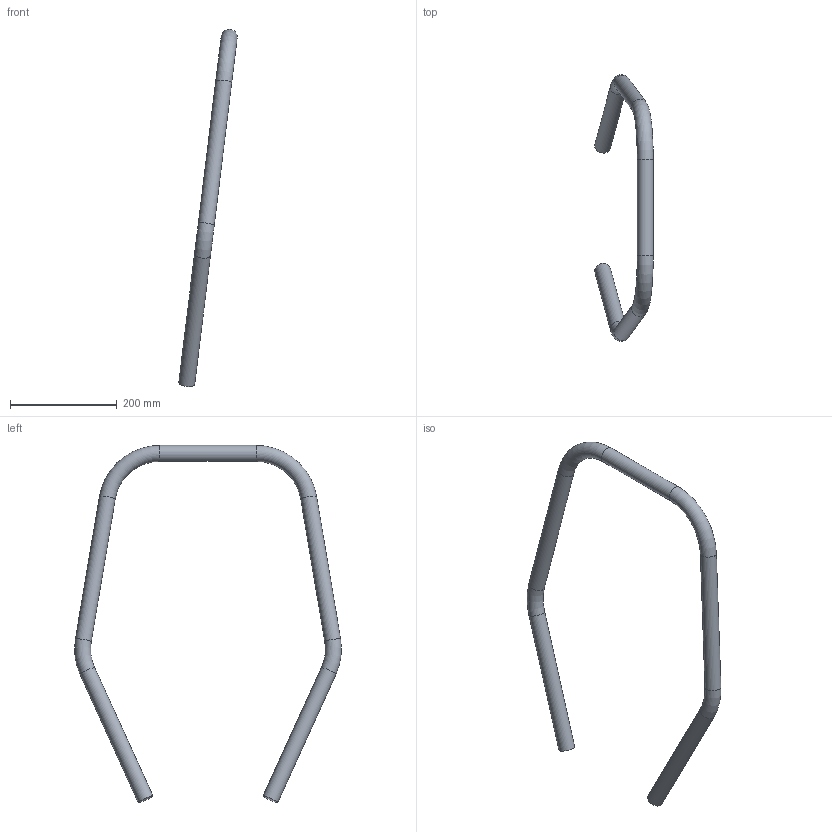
import cadquery as cq
import math


rod_diameter = 30.0
lean_angle = 7.0
hoop_height = 652.82
knee_height = 269.9
shoulder_half_width = 174.7
knee_half_width = 238.55
foot_half_width = 117.0
bend_radius = 100.0

lean = math.radians(lean_angle)

hoop_plane = cq.Plane(
    origin=(0, 0, 0),
    xDir=(0, 1, 0),
    normal=(math.cos(lean), 0, -math.sin(lean)),
)


def make_centreline():
    """Open wire through the hoop corners, rounded at the shoulders and knees."""
    right_corners = [
        (foot_half_width, 0),
        (knee_half_width, knee_height),
        (shoulder_half_width, hoop_height),
    ]
    left_corners = [(-x, y) for x, y in reversed(right_corners)]
    corners = right_corners + left_corners
    points = [hoop_plane.toWorldCoords(corner) for corner in corners]
    sharp_wire = cq.Wire.makePolygon(points)
    bend_corners = sharp_wire.Vertices()[1:-1]
    return sharp_wire.fillet(bend_radius, bend_corners)


def make_hoop():
    """Solid round bar swept along the centreline, with ends cut square to the legs."""
    centreline = make_centreline()
    foot_plane = cq.Plane(
        origin=centreline.startPoint(),
        xDir=hoop_plane.zDir,
        normal=centreline.tangentAt(0),
    )
    section = cq.Workplane(foot_plane).circle(rod_diameter / 2)
    return section.sweep(cq.Workplane(obj=centreline))


result = make_hoop()